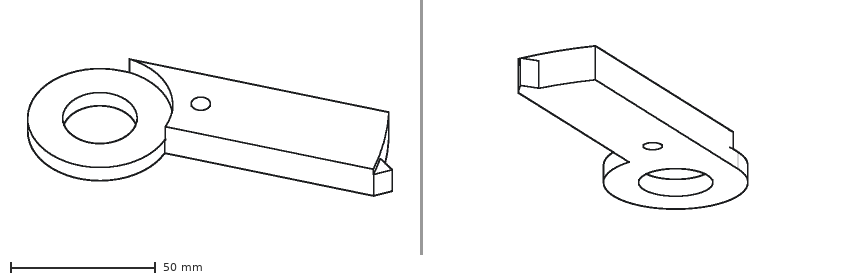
import cadquery as cq
import math

length = 130.5
thickness = 12.7
ring_diameter = 50.0
ring_radius = ring_diameter / 2
bore_diameter = 25.7
ring_thickness = thickness / 2
clearance_radius = 25.2
arm_end_radius = 99.9
arm_front_y = -4.2
arm_back_y = ring_radius
pin_diameter = 6.7
pin_x = 33.3
pin_y = 10.5
pointer_height = 10.2
pointer_half_width = -arm_front_y
pointer_base_x = arm_end_radius
pointer_tip_x = length - ring_radius


def arm_end_x(y):
    """X of the curved arm end at a given Y."""
    return math.sqrt(arm_end_radius**2 - y**2)


def make_arm():
    """Straight arm with a curved end, stepped down over the ring."""
    arm = (
        cq.Workplane("XY")
        .moveTo(0, arm_front_y)
        .lineTo(arm_end_x(arm_front_y), arm_front_y)
        .threePointArc((arm_end_radius, 0), (arm_end_x(arm_back_y), arm_back_y))
        .lineTo(0, arm_back_y)
        .close()
        .extrude(thickness)
    )
    step = (
        cq.Workplane("XY")
        .workplane(offset=ring_thickness)
        .circle(clearance_radius)
        .extrude(thickness - ring_thickness)
    )
    return arm.cut(step)


def make_pointer():
    """Triangular pointer whose base is buried in the arm end."""
    root_x = arm_end_x(arm_back_y)
    return (
        cq.Workplane("XY")
        .polyline([
            (root_x, -pointer_half_width),
            (pointer_base_x, -pointer_half_width),
            (pointer_tip_x, 0),
            (pointer_base_x, pointer_half_width),
            (root_x, pointer_half_width),
        ])
        .close()
        .extrude(pointer_height)
    )


def make_hole(x, y, diameter):
    """Cutter for a vertical through hole."""
    return cq.Workplane("XY").center(x, y).circle(diameter / 2).extrude(thickness)


ring = cq.Workplane("XY").circle(ring_radius).extrude(ring_thickness)
result = (
    ring.union(make_arm())
    .union(make_pointer())
    .cut(make_hole(0, 0, bore_diameter))
    .cut(make_hole(pin_x, pin_y, pin_diameter))
)